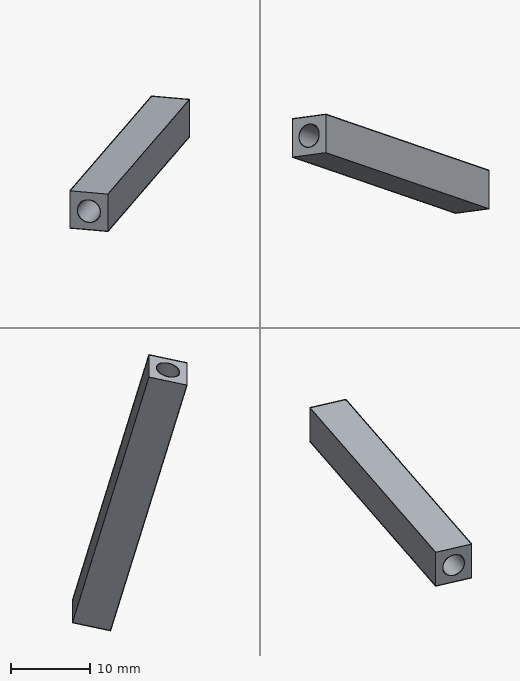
import cadquery as cq

length = 39.0
side = 5.0
bore_diameter = 3.0

bar = cq.Workplane("XY").box(side, length, side)

result = bar.faces("<Y").workplane(centerOption="CenterOfMass").hole(bore_diameter)